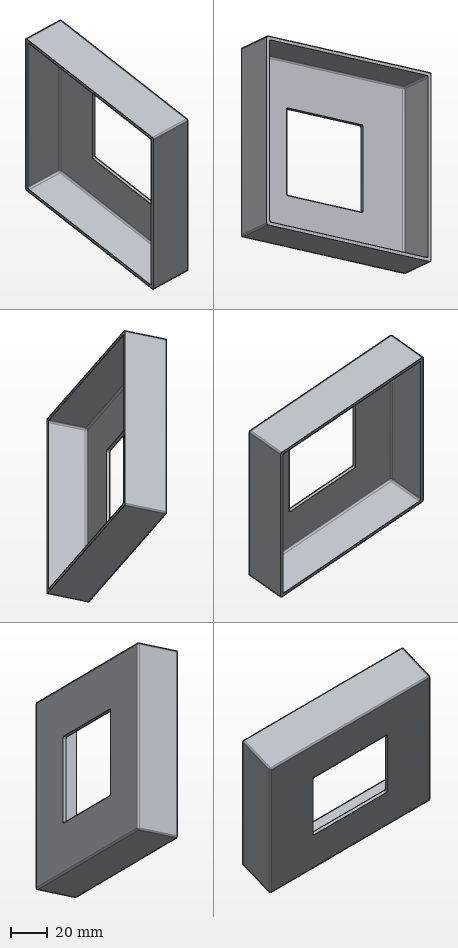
import cadquery as cq

side = 109.0
depth = 25.0
wall = 2.0
floor = 2.0
outer_radius = 1.0
inner_radius = 1.1
window_side = 50.5
window_radius = 1.0

cavity_side = side - 2 * wall
cavity_depth = depth - floor
front_y = -depth / 2


def rounded_block(block_side, length, radius):
    """Square block from the open front face, rounded on its side corners and back edges."""
    block = cq.Workplane("XY").box(block_side, length, block_side)
    block = block.translate((0, front_y + length / 2, 0))
    return block.edges("|Y or >Y").fillet(radius)


def window():
    """Square prism with rounded corners that cuts the opening."""
    prism = cq.Workplane("XY").box(window_side, 2 * depth, window_side)
    return prism.edges("|Y").fillet(window_radius)


shell = rounded_block(side, depth, outer_radius)
cavity = rounded_block(cavity_side, cavity_depth, inner_radius)
result = shell.cut(cavity).cut(window())